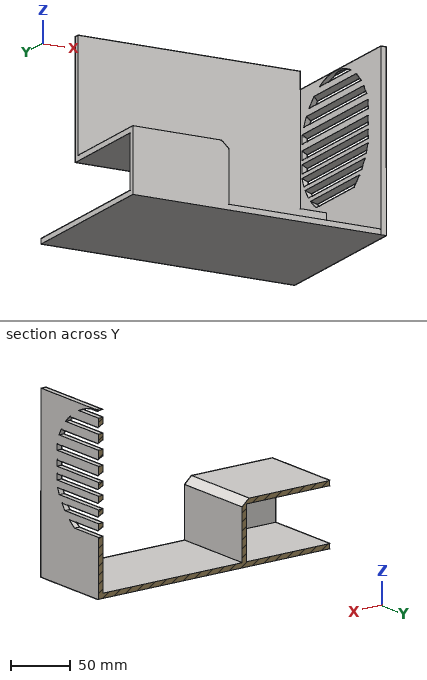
import cadquery as cq
sheet = 5.0
base_length = 236.0
base_width = 159.5

grille_wall_thickness = 5.21
grille_wall_lean = 0.5
grille_wall_height = 165.0

divider_back_y = 100.0
divider_front_y = divider_back_y - sheet
divider_height = grille_wall_height
notch_length = 24.8
notch_floor_z = 45.0

box_length = 91.5
box_height = 60.0
bevel_length = 7.2
bevel_drop = 6.5

opening_radius = 60.0
opening_flat_width = 114.5
opening_center_y = (base_width + grille_wall_lean) / 2
opening_center_z = 104.8
slot_inner_height = 8.1
slot_outer_height = slot_inner_height - grille_wall_thickness / 2
middle_slot_z = 102.4
upper_slot_pitch = 14.0
upper_slot_count = 4
lower_slot_pitch = 12.0
lower_slot_count = 4


def block(x_range, y_range, z_range):
    """Box spanning the given (low, high) range along each axis."""
    low = [span[0] for span in (x_range, y_range, z_range)]
    size = [span[1] - span[0] for span in (x_range, y_range, z_range)]
    return cq.Workplane("XY").box(*size, centered=False).translate(tuple(low))


def make_base():
    return block((0, base_length), (0, base_width), (0, sheet))


def make_divider():
    divider = block((0, base_length), (divider_front_y, divider_back_y), (0, divider_height))
    notch = block(
        (base_length - notch_length, base_length),
        (divider_front_y, divider_back_y),
        (notch_floor_z, divider_height),
    )
    return divider.cut(notch)


def make_box():
    """Solid compartment body with its upper +X edge bevelled."""
    profile = [
        (0, 0),
        (box_length, 0),
        (box_length, box_height - bevel_drop),
        (box_length - bevel_length, box_height),
        (0, box_height),
    ]
    return cq.Workplane("XZ").polyline(profile).close().extrude(-divider_back_y)


def make_box_cavity():
    """Room inside the compartment, reaching out below the divider to +Y."""
    return block(
        (0, box_length - sheet),
        (sheet, divider_back_y),
        (sheet, box_height - sheet),
    )


def make_slot(bottom_z):
    """Slot through the grille wall with a level floor and a roof that falls towards +X."""
    outer_x = base_length + grille_wall_thickness
    profile = [
        (base_length, bottom_z),
        (outer_x, bottom_z),
        (outer_x, bottom_z + slot_outer_height),
        (base_length, bottom_z + slot_inner_height),
    ]
    slot = cq.Workplane("XZ").polyline(profile).close().extrude(opening_flat_width / 2, both=True)
    return slot.translate((0, opening_center_y, 0))


def make_grille_wall():
    """Upright panel whose side edges lean slightly towards +Y, pierced by the louvred opening."""
    outline = [
        (0, 0),
        (base_width, 0),
        (base_width + grille_wall_lean, grille_wall_height),
        (grille_wall_lean, grille_wall_height),
    ]
    wall = (
        cq.Workplane("YZ", origin=(base_length, 0, 0))
        .polyline(outline)
        .close()
        .extrude(grille_wall_thickness)
    )
    opening = (
        cq.Workplane("YZ", origin=(base_length, opening_center_y, opening_center_z))
        .circle(opening_radius)
        .extrude(grille_wall_thickness)
    )
    upper_slots = [middle_slot_z + i * upper_slot_pitch for i in range(upper_slot_count + 1)]
    lower_slots = [middle_slot_z - i * lower_slot_pitch for i in range(1, lower_slot_count + 1)]
    for bottom_z in upper_slots + lower_slots:
        wall = wall.cut(make_slot(bottom_z).intersect(opening))
    return wall


result = (
    make_base()
    .union(make_divider())
    .union(make_box())
    .cut(make_box_cavity())
    .union(make_grille_wall())
)